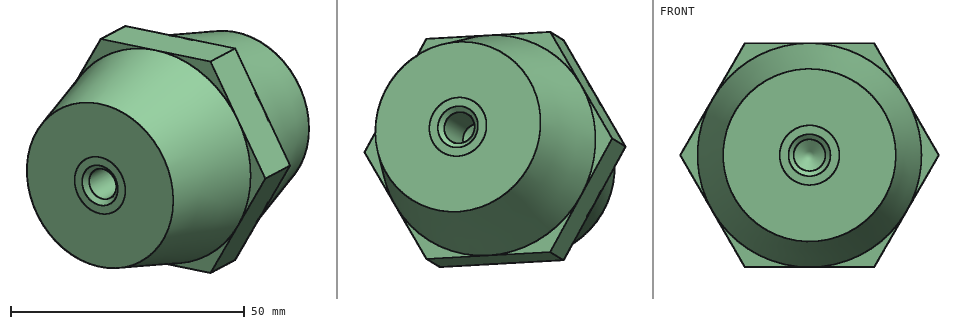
import cadquery as cq
import math

LENGTH = 55.0
ACROSS_FLATS = 48.0
FLANGE_THICKNESS = 10.0
END_DIAMETER = 37.0

INSERT_DIAMETER = 12.8
INSERT_LENGTH = 20.0

BORE_DIAMETER = 6.8
BORE_DEPTH = 15.0
DRILL_POINT_ANGLE = 118.0
COUNTERSINK_DIAMETER = 9.0
COUNTERSINK_ANGLE = 90.0

half_length = LENGTH / 2
half_flange = FLANGE_THICKNESS / 2
cone_base_radius = ACROSS_FLATS / 2
end_radius = END_DIAMETER / 2
across_corners = ACROSS_FLATS / math.cos(math.radians(30))
insert_radius = INSERT_DIAMETER / 2
bore_radius = BORE_DIAMETER / 2
countersink_radius = COUNTERSINK_DIAMETER / 2


def cone_height(radius_change, full_angle):
    """Axial length of a cone whose radius changes by the given amount."""
    return radius_change / math.tan(math.radians(full_angle / 2))


def revolve_about_y(profile_points):
    """Spin a closed (radius, y) outline about the Y axis."""
    return cq.Workplane("XY").polyline(profile_points).close().revolve(360, (0, 0, 0), (0, 1, 0))


def make_housing():
    """Double-cone body with a hexagonal flange and an insert pocket in each end."""
    body = revolve_about_y([
        (0, -half_length),
        (end_radius, -half_length),
        (cone_base_radius, -half_flange),
        (cone_base_radius, half_flange),
        (end_radius, half_length),
        (0, half_length),
    ])
    flange = cq.Workplane("XZ").polygon(6, across_corners).extrude(half_flange, both=True)
    housing = body.union(flange)
    for end in (-1, 1):
        pocket = revolve_about_y([
            (0, end * half_length),
            (insert_radius, end * half_length),
            (insert_radius, end * (half_length - INSERT_LENGTH)),
            (0, end * (half_length - INSERT_LENGTH)),
        ])
        housing = housing.cut(pocket)
    return housing


def make_insert(end):
    """Bush flush with one end face (-1 or 1), with a countersunk blind bore."""
    inner_face = half_length - INSERT_LENGTH
    countersink_floor = half_length - cone_height(countersink_radius - bore_radius, COUNTERSINK_ANGLE)
    bore_floor = half_length - BORE_DEPTH
    drill_tip = bore_floor - cone_height(bore_radius, DRILL_POINT_ANGLE)
    profile = [
        (0, inner_face),
        (insert_radius, inner_face),
        (insert_radius, half_length),
        (countersink_radius, half_length),
        (bore_radius, countersink_floor),
        (bore_radius, bore_floor),
        (0, drill_tip),
    ]
    return revolve_about_y([(radius, end * y) for radius, y in profile])


housing = make_housing()
inserts = [make_insert(end) for end in (-1, 1)]

result = cq.Compound.makeCompound([housing.val(), *[insert.val() for insert in inserts]])